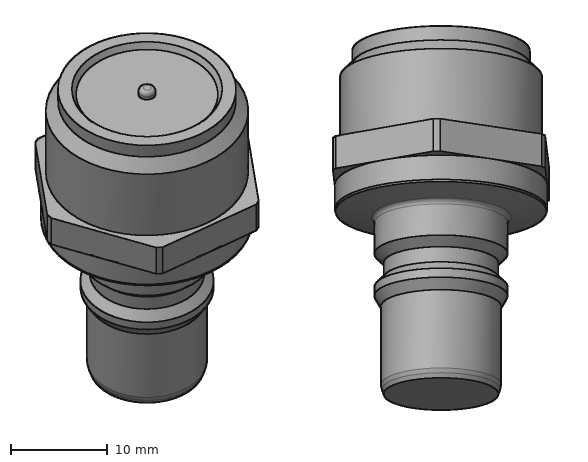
import cadquery as cq

plug_dia = 12.45
plug_bevel_dia = 12.25
plug_tip_dia = 11.85
plug_tip_z = 0.52
plug_straight_z = 1.0

neck_dia = 13.8
groove_dia = 11.85
ridge_low_z = 9.4
ridge_flat_low_z = 10.55
ridge_flat_high_z = 11.55
groove_low_z = 12.5
groove_high_z = 14.15
neck_low_z = 15.1

collar_dia = 22.0
collar_edge_dia = 21.85
neck_high_z = 18.5
neck_fillet_mid = (7.0, 18.82)
neck_fillet_end = (7.25, 19.05)
collar_edge_z = 19.68
collar_straight_z = 19.9

hex_across_flats = collar_dia
hex_corner_dia = 25.0
hex_low_z = 22.5
hex_high_z = 26.0

barrel_dia = 20.95
rim_dia = 18.4
barrel_chamfer_low_z = 34.15
rim_low_z = 35.45
rim_high_z = 36.98

recess_top_dia = 15.55
recess_floor_dia = 14.65
recess_depth = 0.67

pin_dia = 1.8
pin_tip_dia = 0.8
pin_top_z = 37.2
pin_round = (pin_dia - pin_tip_dia) / 2


def make_turned_body():
    """Revolve the half section of the body about Z."""
    return (
        cq.Workplane("XZ")
        .moveTo(0, 0)
        .lineTo(plug_tip_dia / 2, 0)
        .lineTo(plug_bevel_dia / 2, plug_tip_z)
        .lineTo(plug_dia / 2, plug_straight_z)
        .lineTo(plug_dia / 2, ridge_low_z)
        .lineTo(neck_dia / 2, ridge_flat_low_z)
        .lineTo(neck_dia / 2, ridge_flat_high_z)
        .lineTo(groove_dia / 2, groove_low_z)
        .lineTo(groove_dia / 2, groove_high_z)
        .lineTo(neck_dia / 2, neck_low_z)
        .lineTo(neck_dia / 2, neck_high_z)
        .threePointArc(neck_fillet_mid, neck_fillet_end)
        .lineTo(collar_edge_dia / 2, collar_edge_z)
        .lineTo(collar_dia / 2, collar_straight_z)
        .lineTo(collar_dia / 2, hex_low_z)
        .lineTo(barrel_dia / 2, hex_low_z)
        .lineTo(barrel_dia / 2, barrel_chamfer_low_z)
        .lineTo(rim_dia / 2, rim_low_z)
        .lineTo(rim_dia / 2, rim_high_z)
        .lineTo(recess_top_dia / 2, rim_high_z)
        .lineTo(recess_floor_dia / 2, rim_high_z - recess_depth)
        .lineTo(0, rim_high_z - recess_depth)
        .close()
        .revolve(360, (0, 0, 0), (0, 1, 0))
    )


def make_hexagon():
    """Hexagon with flats facing X, trimmed by a round at its corners."""
    height = hex_high_z - hex_low_z
    base = cq.Workplane("XY").workplane(offset=hex_low_z)
    hexagon = base.polygon(6, hex_across_flats, circumscribed=True).extrude(height)
    corner_round = base.circle(hex_corner_dia / 2).extrude(height)
    return hexagon.intersect(corner_round)


def make_pin():
    """Round-edged pin rising from the body through the recess floor."""
    root_z = rim_low_z
    return (
        cq.Workplane("XY")
        .workplane(offset=root_z)
        .circle(pin_dia / 2)
        .extrude(pin_top_z - root_z)
        .faces(">Z")
        .edges()
        .fillet(pin_round)
    )


result = make_turned_body().union(make_hexagon()).union(make_pin())